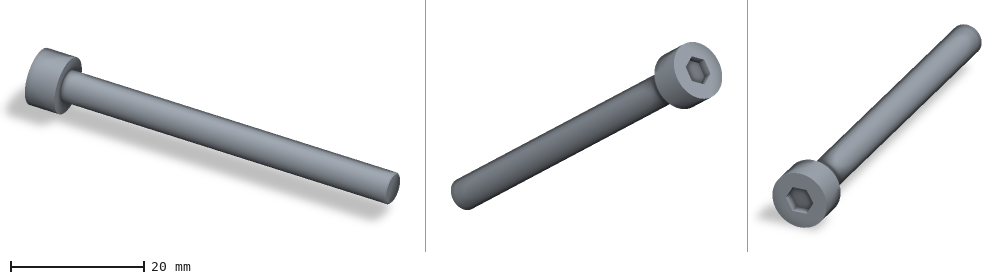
import cadquery as cq
import math

total_length = 60.0
head_diameter = 9.0
head_height = 5.0
shank_diameter = 5.0
tip_chamfer = 0.2
socket_sides = 6
socket_across_flats = 4.0
socket_depth = 1.5

shank_length = total_length - head_height
socket_across_corners = socket_across_flats / math.cos(math.pi / socket_sides)


def make_head():
    """Plain cylindrical head, from X = -head_height to X = 0."""
    return cq.Workplane("YZ").circle(head_diameter / 2).extrude(-head_height)


def make_shank():
    """Cylindrical shank from X = 0, chamfered at the tip."""
    shank = cq.Workplane("YZ").circle(shank_diameter / 2).extrude(shank_length)
    return shank.faces(">X").chamfer(tip_chamfer)


def make_socket():
    """Hexagonal pocket sunk from the head face, corners pointing along Y."""
    return (
        cq.Workplane("YZ", origin=(-head_height, 0, 0))
        .polygon(socket_sides, socket_across_corners)
        .extrude(socket_depth)
    )


result = make_head().union(make_shank()).cut(make_socket())